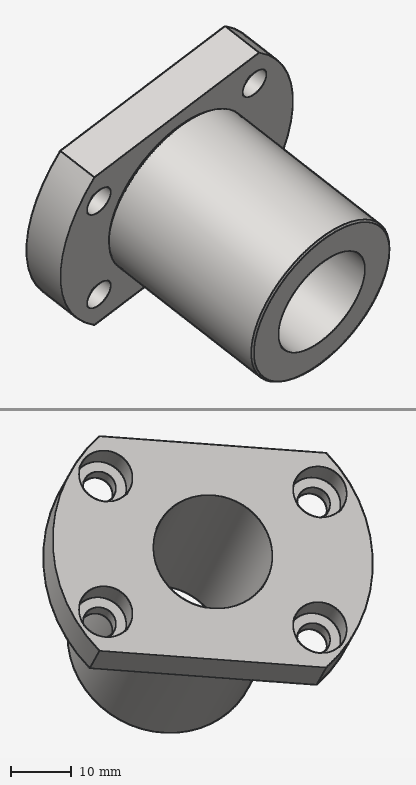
import cadquery as cq

flange_diameter = 53.8
flange_height = 38.0
flange_thickness = 8.0

overall_length = 42.0
sleeve_diameter = 32.0
bore_diameter = 20.0
end_chamfer = 0.3
neck_diameter = 31.4
neck_length = 0.3

screw_diameter = 5.5
head_diameter = 9.0
head_depth = 5.1
screw_spacing_y = 36.0
screw_spacing_z = 24.0


def make_flange():
    disc = cq.Workplane("YZ").circle(flange_diameter / 2).extrude(flange_thickness)
    flats = cq.Workplane("YZ").rect(flange_diameter, flange_height).extrude(flange_thickness)
    return disc.intersect(flats)


def make_sleeve():
    neck_end = flange_thickness + neck_length
    neck = cq.Workplane("YZ").circle(neck_diameter / 2).extrude(neck_end)
    barrel = (
        cq.Workplane("YZ", origin=(neck_end, 0, 0))
        .circle(sleeve_diameter / 2)
        .extrude(overall_length - neck_end)
        .faces(">X")
        .chamfer(end_chamfer)
    )
    return neck.union(barrel)


def cut_screw_holes(body):
    centers = cq.Workplane("YZ").rect(screw_spacing_y, screw_spacing_z, forConstruction=True).vertices()
    shanks = centers.circle(screw_diameter / 2).extrude(flange_thickness)
    heads = centers.circle(head_diameter / 2).extrude(head_depth)
    return body.cut(shanks).cut(heads)


def cut_bore(body):
    bore = cq.Workplane("YZ").circle(bore_diameter / 2).extrude(overall_length)
    return body.cut(bore)


result = cut_bore(cut_screw_holes(make_flange().union(make_sleeve())))